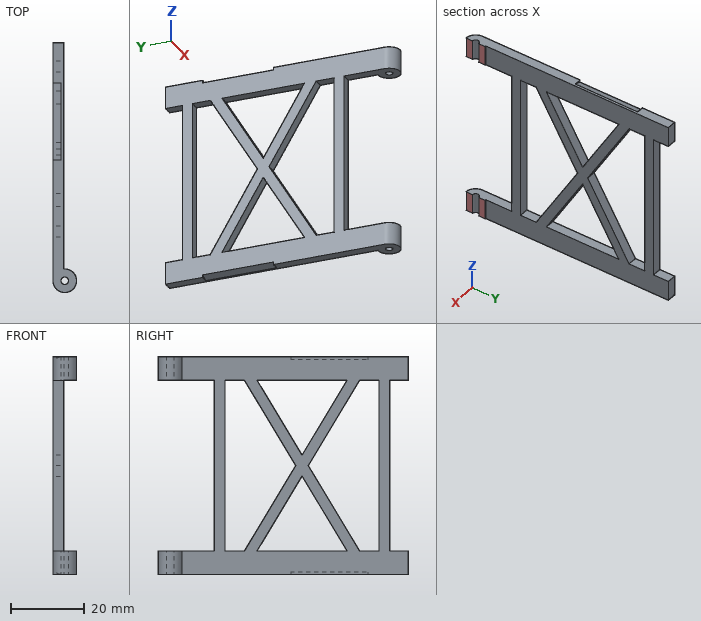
import cadquery as cq
import math


frame_height = 59.5
frame_thickness = 3.0
hinge_to_free_end = 65.0

rail_height = 6.5
knuckle_diameter = 6.5
pin_hole_diameter = 2.0

post_width = 3.0
post_spacing = 45.0
lattice_center_y = 36.0
brace_width = 3.0
brace_angle = 31.0

relief_length = 21.0
relief_end_gap = 11.0
relief_depth = 0.75
relief_width = 2.25

knuckle_radius = knuckle_diameter / 2
half_height = frame_height / 2
window_height = frame_height - 2 * rail_height
relief_start_y = hinge_to_free_end - relief_end_gap - relief_length


def hinge_cylinder(diameter):
    """Cylinder around the hinge axis, as tall as a rail."""
    return cq.Workplane("XY").center(knuckle_radius, 0).circle(diameter / 2).extrude(rail_height)


def rail(bottom_z):
    """Straight rail ending in a bored hinge knuckle flush with the outer face."""
    bar = cq.Workplane("XY").box(frame_thickness, hinge_to_free_end, rail_height, centered=False)
    bored_bar = bar.union(hinge_cylinder(knuckle_diameter)).cut(hinge_cylinder(pin_hole_diameter))
    return bored_bar.translate((0, 0, bottom_z))


def post(center_y):
    """Upright joining the two rails."""
    upright = cq.Workplane("XY").box(frame_thickness, post_width, window_height)
    return upright.translate((frame_thickness / 2, center_y, 0))


def brace(angle):
    """Diagonal through the lattice center, its ends buried in the rails."""
    tilt = math.radians(abs(angle))
    length = (window_height + rail_height) / math.cos(tilt)
    strut = cq.Workplane("XY").box(frame_thickness, brace_width, length)
    strut = strut.rotate((0, 0, 0), (1, 0, 0), angle)
    return strut.translate((frame_thickness / 2, lattice_center_y, 0))


def edge_relief(side):
    """Wedge sloping from the outer face up to the rail edge; side is +1 (top) or -1 (bottom)."""
    edge_z = side * half_height
    wedge = (
        cq.Workplane("XZ")
        .moveTo(0, edge_z)
        .lineTo(relief_width, edge_z)
        .lineTo(0, edge_z - side * relief_depth)
        .close()
        .extrude(-relief_length)
    )
    return wedge.translate((0, relief_start_y, 0))


result = rail(-half_height).union(rail(half_height - rail_height))

for direction in (-1, 1):
    result = result.union(post(lattice_center_y + direction * post_spacing / 2))
    result = result.union(brace(direction * brace_angle))

for side in (-1, 1):
    result = result.cut(edge_relief(side))